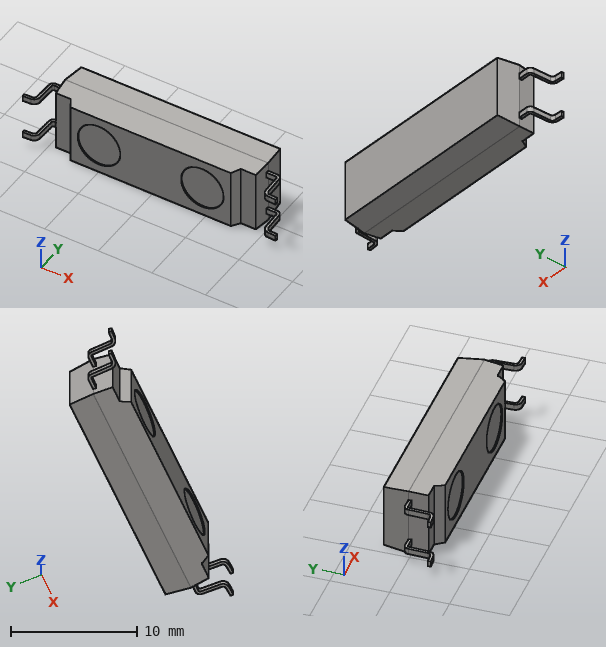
import cadquery as cq
import math

overall_length = 23.62

body_back = 4.77
seam = 2.65
shelf = 1.02
body_front = 0.24

seam_half_length = 9.47
seam_half_height = 3.0
back_half_length = 9.28
back_half_height = 2.8
front_half_length = 9.25
front_half_height = 2.79

slope_angle = 30.0
slope_outer = 7.94
slope_inner = slope_outer - (shelf - body_front) * math.tan(math.radians(slope_angle))

recess_diameter = 3.97
recess_spacing = 9.64
recess_depth = 0.12

lead_thickness = 0.25
lead_width = 0.52
lead_pitch = 3.8
lead_embed = 0.47
leg_outer = 10.72
leg_lean = 2.0
foot_tilt = 3.0
shoulder_radius = 0.4
heel_radius = 0.55


def half_body(end_y, end_half_length, end_half_height):
    """Drafted block from the parting line to a smaller rectangle at end_y."""
    seam_plane = cq.Plane((0, seam, 0), xDir=(1, 0, 0), normal=(0, 1, 0))
    return (
        cq.Workplane(seam_plane)
        .rect(2 * seam_half_length, 2 * seam_half_height)
        .workplane(offset=end_y - seam)
        .rect(2 * end_half_length, 2 * end_half_height)
        .loft(ruled=True)
    )


def end_relief(side):
    """Material to remove at one end of the front, leaving the slope and the shelf."""
    end_x = side * seam_half_length
    outline = [
        (side * slope_inner, body_front),
        (side * slope_outer, shelf),
        (end_x, shelf),
        (end_x, body_front),
    ]
    return cq.Workplane("XY").polyline(outline).close().extrude(seam_half_height, both=True)


def front_recesses():
    """Two shallow discs to sink into the front face."""
    return (
        cq.Workplane("XZ", origin=(0, body_front, 0))
        .pushPoints([(-recess_spacing / 2, 0), (recess_spacing / 2, 0)])
        .circle(recess_diameter / 2)
        .extrude(-recess_depth)
    )


def make_lead():
    """Lead on the +X side, centred on Z = 0: a flat strip swept along its bent mid-line."""
    lean = math.radians(leg_lean)
    tilt = math.radians(foot_tilt)
    half = lead_thickness / 2

    arm_y = seam - half
    shoulder_x = leg_outer + half * math.tan(lean) - half / math.cos(lean)
    tip_x = overall_length / 2 - half * math.sin(tilt)
    tip_y = half * math.cos(tilt)
    foot_run = tip_x - shoulder_x - arm_y * math.tan(lean)
    heel_y = (tip_y + foot_run * math.tan(tilt)) / (1 - math.tan(lean) * math.tan(tilt))
    heel_x = shoulder_x + (arm_y - heel_y) * math.tan(lean)

    shoulder_turn = math.pi / 2 - lean
    heel_turn = math.pi / 2 - lean - tilt
    shoulder_setback = (shoulder_radius - half) * math.tan(shoulder_turn / 2)
    heel_setback = (heel_radius - half) * math.tan(heel_turn / 2)

    arm = cq.Vector(1, 0)
    leg = cq.Vector(math.sin(lean), -math.cos(lean))
    foot = cq.Vector(math.cos(tilt), -math.sin(tilt))
    start = cq.Vector(seam_half_length - lead_embed, arm_y)
    shoulder = cq.Vector(shoulder_x, arm_y)
    heel = cq.Vector(heel_x, heel_y)
    tip = cq.Vector(tip_x, tip_y)

    mid_line = (
        cq.Workplane("XY")
        .moveTo(start.x, start.y)
        .lineTo(*(shoulder - arm * shoulder_setback).toTuple()[:2])
        .tangentArcPoint(shoulder + leg * shoulder_setback, relative=False)
        .lineTo(*(heel - leg * heel_setback).toTuple()[:2])
        .tangentArcPoint(heel + foot * heel_setback, relative=False)
        .lineTo(tip.x, tip.y)
    )
    section_plane = cq.Plane(start, xDir=(0, 1, 0), normal=(1, 0, 0))
    return cq.Workplane(section_plane).rect(lead_thickness, lead_width).sweep(mid_line)


rear_half = half_body(body_back, back_half_length, back_half_height)
front_half = half_body(body_front, front_half_length, front_half_height)
body = rear_half.union(front_half)
for side in (-1, 1):
    body = body.cut(end_relief(side))
body = body.cut(front_recesses())

right_lead = make_lead()
left_lead = right_lead.mirror("YZ")
result = body
for lead_z in (-lead_pitch / 2, lead_pitch / 2):
    for lead in (left_lead, right_lead):
        result = result.union(lead.translate((0, 0, lead_z)))